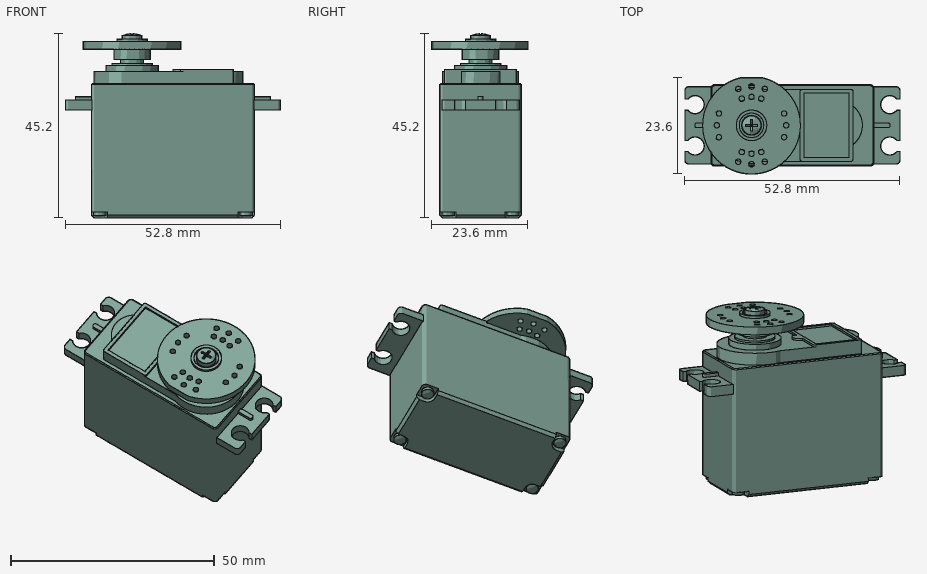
import cadquery as cq
import math

CASE_LENGTH = 40.0
CASE_WIDTH = 20.0
CASE_HEIGHT = 33.0
CASE_EDGE_RADIUS = 1.0
CASE_TOP_CHAMFER = 0.25
CASE_BOTTOM_CHAMFER = 0.75

POCKET_SIDE = 4.0
POCKET_HEIGHT = 1.55
POCKET_INNER_RADIUS = POCKET_SIDE / 2
CASE_SCREW_INSET = 2.05
CASE_SCREW_DIAMETER = 3.0
CASE_SCREW_RIM = 0.9
CASE_SCREW_DOME = 0.15

SCREW_LEDGE = 0.1

LUG_SPAN = 52.8
LUG_WIDTH = 19.0
LUG_BOTTOM = 26.5
LUG_TOP = 29.0
LUG_CORNER_RADIUS = 1.0
LUG_HOLE_DIAMETER = 4.4
LUG_HOLE_X = 23.85
LUG_HOLE_Y = 5.05
LUG_SLOT_WIDTH = 2.7
RIB_TIP_SPAN = 47.9
RIB_WIDTH = 1.15
RIB_HEIGHT = 0.8
RIB_END_RADIUS = 0.5

SHAFT_X = -10.05
COVER_TOP = 36.0
COVER_RADIUS = 9.35
PANEL_START_X = 1.9
PANEL_END_X = 14.85
PANEL_WIDTH = 17.7
PANEL_TOP = 36.5
PANEL_CORNER_RADIUS = 0.55
PANEL_RIM = 0.95
PANEL_RECESS_DEPTH = 0.5
PANEL_TAB_RADIUS = 1.9
END_ROUND_X = 11.2
END_ROUND_RADIUS = 5.95

BOSS = (12.9, 37.5)
BEARING = (9.9, 37.95)
SHAFT = (5.7, 38.85)
HUB = (9.0, 41.4)
HORN = (23.95, 43.35)
COLLAR = (7.5, 43.95)
COLLAR_BORE = 6.0

HORN_FLAT_Y = 11.65
HORN_HOLE_DIAMETER = 1.3
HORN_HOLE_STEP = 20
HORN_HOLE_ROWS = [(9.5, (90, 270)), (6.95, (90, 270)), (8.5, (0, 180))]

SCREW_DIAMETER = 4.85
SCREW_RIM_TOP = 44.8
SCREW_TOP = 45.25
CROSS_LENGTH = 3.15
CROSS_WIDTH = 0.5
CROSS_DEPTH = 1.7


def slab(length, width, bottom, top, x=0, y=0):
    """Rectangular block centred on (x, y) between two heights."""
    return cq.Workplane("XY", origin=(x, y, bottom)).rect(length, width).extrude(top - bottom)


def disc(diameter, bottom, top, x=0, y=0):
    """Upright cylinder on (x, y) between two heights."""
    return cq.Workplane("XY", origin=(x, y, bottom)).circle(diameter / 2).extrude(top - bottom)


def domed_head(diameter, rim, dome):
    """Screw head standing on the origin: a cylinder under a slightly narrower spherical cap."""
    radius = diameter / 2
    dome_radius = radius - SCREW_LEDGE
    sphere_radius = (dome_radius**2 + dome**2) / (2 * dome)
    mid_x = dome_radius / 2
    mid_z = rim + dome - sphere_radius + math.sqrt(sphere_radius**2 - mid_x**2)
    return (
        cq.Workplane("XZ")
        .lineTo(radius, 0)
        .lineTo(radius, rim)
        .lineTo(dome_radius, rim)
        .threePointArc((mid_x, mid_z), (0, rim + dome))
        .close()
        .revolve(360, (0, 0), (0, 1))
    )


def make_case():
    case = slab(CASE_LENGTH, CASE_WIDTH, 0, CASE_HEIGHT).edges("|Z").fillet(CASE_EDGE_RADIUS)
    case = case.faces(">Z").edges().chamfer(CASE_TOP_CHAMFER)
    case = case.faces("<Z").edges().chamfer(CASE_BOTTOM_CHAMFER)
    pocket_x = CASE_LENGTH / 2 - POCKET_INNER_RADIUS
    pocket_y = CASE_WIDTH / 2 - POCKET_INNER_RADIUS
    for side_x in (-1, 1):
        for side_y in (-1, 1):
            x = side_x * pocket_x
            y = side_y * pocket_y
            pocket = slab(POCKET_SIDE, POCKET_SIDE, 0, POCKET_HEIGHT, x, y)
            inner_edge = cq.selectors.NearestToPointSelector(
                (x - side_x * POCKET_INNER_RADIUS, y - side_y * POCKET_INNER_RADIUS, POCKET_HEIGHT / 2)
            )
            pocket = pocket.edges("|Z").edges(inner_edge).fillet(POCKET_INNER_RADIUS)
            screw_x = side_x * (CASE_LENGTH / 2 - CASE_SCREW_INSET)
            screw_y = side_y * (CASE_WIDTH / 2 - CASE_SCREW_INSET)
            head = domed_head(CASE_SCREW_DIAMETER, CASE_SCREW_RIM, CASE_SCREW_DOME)
            head = head.rotate((0, 0, 0), (1, 0, 0), 180).translate((screw_x, screw_y, POCKET_HEIGHT))
            case = case.cut(pocket).union(head)
    return case


def make_lugs():
    lugs = slab(LUG_SPAN, LUG_WIDTH, LUG_BOTTOM, LUG_TOP).edges("|Z").fillet(LUG_CORNER_RADIUS)
    slot_length = LUG_SPAN / 2 - LUG_HOLE_X
    for side_x in (-1, 1):
        for side_y in (-1, 1):
            x = side_x * LUG_HOLE_X
            y = side_y * LUG_HOLE_Y
            lugs = lugs.cut(disc(LUG_HOLE_DIAMETER, LUG_BOTTOM, LUG_TOP, x, y))
            slot_x = x + side_x * slot_length / 2
            lugs = lugs.cut(slab(slot_length, LUG_SLOT_WIDTH, LUG_BOTTOM, LUG_TOP, slot_x, y))
    ribs = slab(RIB_TIP_SPAN, RIB_WIDTH, LUG_TOP, LUG_TOP + RIB_HEIGHT).edges("|Z").fillet(RIB_END_RADIUS)
    return lugs.union(ribs)


def make_cover():
    cover = disc(2 * COVER_RADIUS, CASE_HEIGHT, COVER_TOP, SHAFT_X)
    half_width = PANEL_WIDTH / 2
    deck_start_x = SHAFT_X + math.sqrt(COVER_RADIUS**2 - half_width**2)
    deck_length = PANEL_END_X - deck_start_x
    deck = slab(deck_length, PANEL_WIDTH, CASE_HEIGHT, COVER_TOP, deck_start_x + deck_length / 2)
    deck = deck.edges("|Z and >X").fillet(PANEL_CORNER_RADIUS)
    end_round = disc(2 * END_ROUND_RADIUS, CASE_HEIGHT, COVER_TOP, END_ROUND_X)

    panel_length = PANEL_END_X - PANEL_START_X
    panel_x = (PANEL_START_X + PANEL_END_X) / 2
    panel = slab(panel_length, PANEL_WIDTH, CASE_HEIGHT, PANEL_TOP, panel_x)
    panel = panel.edges("|Z").fillet(PANEL_CORNER_RADIUS)
    panel = panel.union(disc(2 * PANEL_TAB_RADIUS, CASE_HEIGHT, PANEL_TOP, PANEL_START_X))
    recess = slab(
        panel_length - 2 * PANEL_RIM,
        PANEL_WIDTH - 2 * PANEL_RIM,
        PANEL_TOP - PANEL_RECESS_DEPTH,
        PANEL_TOP,
        panel_x,
    )
    return cover.union(deck).union(end_round).union(panel).cut(recess)


def make_output():
    bottom = COVER_TOP
    stack = cq.Workplane("XY")
    for diameter, top in (BOSS, BEARING, SHAFT, HUB, HORN, COLLAR):
        stack = stack.union(disc(diameter, bottom, top, SHAFT_X))
        bottom = top
    horn_bottom = HUB[1]
    horn_top = HORN[1]
    stack = stack.cut(disc(COLLAR_BORE, horn_top, COLLAR[1], SHAFT_X))
    horn_diameter = HORN[0]
    flat_depth = horn_diameter / 2 - HORN_FLAT_Y
    stack = stack.cut(
        slab(horn_diameter, flat_depth, horn_bottom, horn_top, SHAFT_X, HORN_FLAT_Y + flat_depth / 2)
    )
    for pitch_radius, centre_angles in HORN_HOLE_ROWS:
        for centre_angle in centre_angles:
            for step in (-1, 0, 1):
                angle = math.radians(centre_angle + step * HORN_HOLE_STEP)
                x = SHAFT_X + pitch_radius * math.cos(angle)
                y = pitch_radius * math.sin(angle)
                stack = stack.cut(disc(HORN_HOLE_DIAMETER, horn_bottom, horn_top, x, y))
    return stack.union(make_horn_screw())


def make_horn_screw():
    seat = HORN[1]
    screw = domed_head(SCREW_DIAMETER, SCREW_RIM_TOP - seat, SCREW_TOP - SCREW_RIM_TOP)
    top = SCREW_TOP - seat
    arm = (
        cq.Workplane("XZ")
        .moveTo(-CROSS_LENGTH / 2, top)
        .lineTo(CROSS_LENGTH / 2, top)
        .lineTo(0, top - CROSS_DEPTH)
        .close()
        .extrude(CROSS_WIDTH / 2, both=True)
    )
    screw = screw.cut(arm).cut(arm.rotate((0, 0, 0), (0, 0, 1), 90))
    return screw.translate((SHAFT_X, 0, seat))


result = make_case().union(make_lugs()).union(make_cover()).union(make_output())